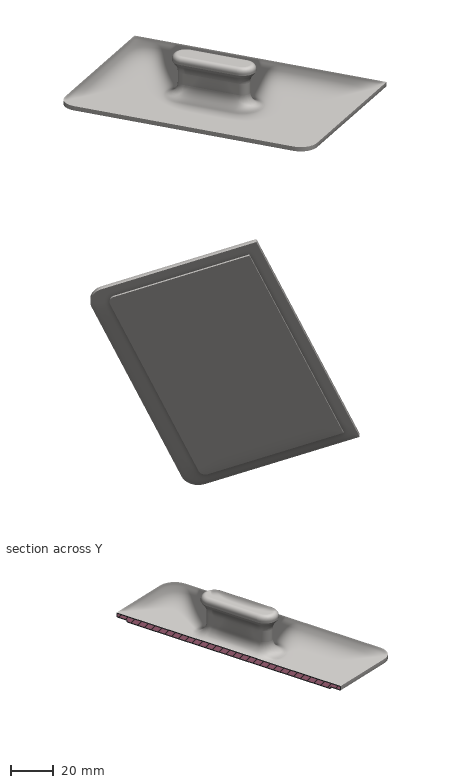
import cadquery as cq
import math

length = 129.5
width = 86.4
height = 24.1

pad_thickness = 0.9
plate_thickness = 2.2
plate_corner_radius = 8.4

pad_side_inset = 5.8
pad_back_inset = 5.8
pad_front_inset = 9.0
pad_corner_radius = 3.4

knob_from_front = 34.3
knob_straight = 29.1
stem_radius = 3.8
lip_radius = 6.5
foot_fillet = 6.3
flare_start = 12.2
flare_radius = 5.0
flare_angle = math.radians(45)
lip_bottom = 17.5
top_round = 2.5

plate_top = pad_thickness + plate_thickness
knob_height = height - plate_top
knob_y = knob_from_front - width / 2


def slab(x_size, y_size, thickness, corner_radius):
    """Flat plate with its two front corners rounded."""
    block = cq.Workplane("XY").box(x_size, y_size, thickness, centered=(True, True, False))
    return block.edges("|Z and <Y").fillet(corner_radius)


def knob_profile(plane):
    """Half section of the knob: local x is distance from the axis, local y is height."""
    def flare_point(angle):
        x = stem_radius + flare_radius * (1 - math.cos(angle))
        return (x, flare_start + flare_radius * math.sin(angle))

    quarter = math.sqrt(0.5)
    foot_mid = (
        stem_radius + foot_fillet * (1 - quarter),
        foot_fillet * (1 - quarter),
    )
    top_mid = (
        lip_radius - top_round * (1 - quarter),
        knob_height - top_round * (1 - quarter),
    )
    return (
        cq.Workplane(plane)
        .moveTo(0, -plate_thickness / 2)
        .lineTo(stem_radius + foot_fillet, -plate_thickness / 2)
        .lineTo(stem_radius + foot_fillet, 0)
        .threePointArc(foot_mid, (stem_radius, foot_fillet))
        .lineTo(stem_radius, flare_start)
        .threePointArc(flare_point(flare_angle / 2), flare_point(flare_angle))
        .lineTo(lip_radius, lip_bottom)
        .lineTo(lip_radius, knob_height - top_round)
        .threePointArc(top_mid, (lip_radius - top_round, knob_height))
        .lineTo(0, knob_height)
        .close()
    )


def make_knob():
    """Straight middle with a revolved half round at each end."""
    half_straight = knob_straight / 2
    section_plane = cq.Plane((-half_straight, knob_y, plate_top), xDir=(0, 1, 0), normal=(1, 0, 0))
    half_bar = knob_profile(section_plane).extrude(knob_straight)
    knob = half_bar.union(half_bar.mirror("XZ", (0, knob_y, 0)))
    for x in (-half_straight, half_straight):
        end_plane = cq.Plane((x, knob_y, plate_top), xDir=(1, 0, 0), normal=(0, -1, 0))
        knob = knob.union(knob_profile(end_plane).revolve(360, (0, 0), (0, 1)))
    return knob


plate = slab(length, width, plate_thickness, plate_corner_radius).translate((0, 0, pad_thickness))

pad_length = length - 2 * pad_side_inset
pad_width = width - pad_front_inset - pad_back_inset
pad_y = (pad_front_inset - pad_back_inset) / 2
pad = slab(pad_length, pad_width, pad_thickness, pad_corner_radius).translate((0, pad_y, 0))

result = plate.union(pad).union(make_knob())